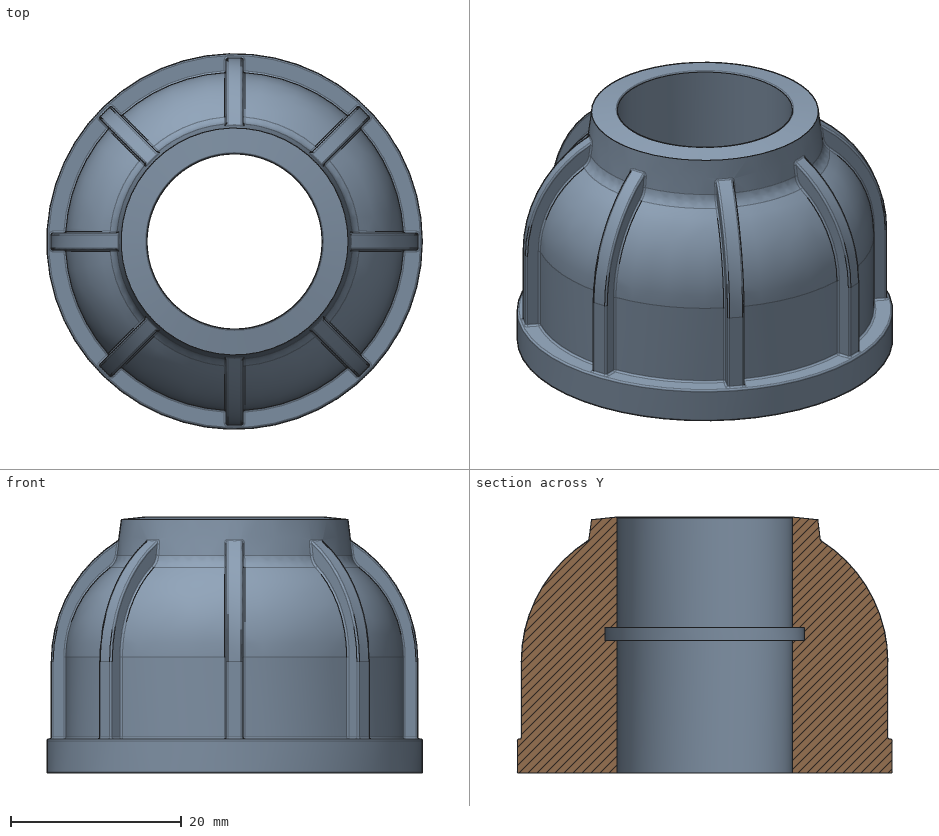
import cadquery as cq
import math

flange_radius = 22.0
flange_height = 4.0
flange_top_fillet = 0.2
flange_bottom_fillet = 0.15

body_radius = 19.8
dome_start_z = 13.6
dome_arc_radius = 13.2

total_height = 30.0
neck_rim_z = 29.7
neck_rim_radius = 13.3
neck_taper = math.radians(7.0)
neck_root_fillet = 2.1

bore_radius = 10.25
bore_rim_fillet = 0.15
groove_depth = 1.4
groove_height = 1.5
groove_top_z = 17.05

rib_count = 8
rib_width = 2.0
rib_outer_radius = 21.45
rib_inner_radius = 11.9
rib_arc_start_z = 13.05
rib_arc_radius = 16.7
rib_edge_fillet = 0.2
root_fillet = 0.2

CONTACT_TOLERANCE = 0.0005


def arc_point(outer_radius, arc_radius, start_z, angle):
    """Point (radius, z) on an arc that leaves a vertical wall at start_z and curves inward."""
    radius = outer_radius - arc_radius * (1 - math.cos(angle))
    return radius, start_z + arc_radius * math.sin(angle)


def dome_end_angle():
    """Angle along the dome arc at which it meets the neck cone."""
    neck_radius_at_dome_start = neck_rim_radius + (neck_rim_z - dome_start_z) * math.tan(neck_taper)
    arc_center_radius = body_radius - dome_arc_radius
    cone_distance = (neck_radius_at_dome_start - arc_center_radius) * math.cos(neck_taper)
    return neck_taper + math.acos(cone_distance / dome_arc_radius)


def make_shell():
    """Revolved flange, body, dome and neck, still without bore and ribs."""
    end_angle = dome_end_angle()
    dome_middle = arc_point(body_radius, dome_arc_radius, dome_start_z, end_angle / 2)
    dome_end = arc_point(body_radius, dome_arc_radius, dome_start_z, end_angle)

    face_inner_radius = bore_radius + bore_rim_fillet
    face_slope = (total_height - neck_rim_z) / (neck_rim_radius - face_inner_radius)
    face_apex_z = total_height + face_inner_radius * face_slope
    profile = (
        cq.Workplane("XZ")
        .lineTo(flange_radius, 0)
        .lineTo(flange_radius, flange_height)
        .lineTo(body_radius, flange_height)
        .lineTo(body_radius, dome_start_z)
        .threePointArc(dome_middle, dome_end)
        .lineTo(neck_rim_radius, neck_rim_z)
        .lineTo(0, face_apex_z)
        .close()
    )
    shell = profile.revolve(360, (0, 0), (0, 1))

    neck_root = cq.selectors.NearestToPointSelector((0, 0, dome_end[1]))
    shell = shell.edges("%CIRCLE").edges(neck_root).fillet(neck_root_fillet)
    shell = shell.edges("<Z").fillet(flange_bottom_fillet)
    flange_edges = shell.edges("%CIRCLE").edges(cq.selectors.RadiusNthSelector(-1))
    return flange_edges.edges(">Z").fillet(flange_top_fillet)


def make_rib():
    """One rib on the +X side, its base sunk into the flange and its tip into the neck."""
    end_angle = math.acos(1 - (rib_outer_radius - rib_inner_radius) / rib_arc_radius)
    arc_middle = arc_point(rib_outer_radius, rib_arc_radius, rib_arc_start_z, end_angle / 2)
    arc_end = arc_point(rib_outer_radius, rib_arc_radius, rib_arc_start_z, end_angle)
    base_z = flange_height / 2
    rib = (
        cq.Workplane("XZ")
        .moveTo(rib_inner_radius, base_z)
        .lineTo(rib_outer_radius, base_z)
        .lineTo(rib_outer_radius, rib_arc_start_z)
        .threePointArc(arc_middle, arc_end)
        .close()
        .extrude(rib_width / 2, both=True)
    )
    return rib.faces("<Y or >Y").edges("not (<X or <Z)").fillet(rib_edge_fillet)


def make_ribs():
    """All ribs, evenly spaced around the axis."""
    rib = make_rib()
    return [rib.rotate((0, 0, 0), (0, 0, 1), i * 360 / rib_count) for i in range(rib_count)]


def lies_on(point, solid):
    """True if the point is on the surface of the solid."""
    vertex = cq.Vertex.makeVertex(*point.toTuple())
    return solid.val().Shells()[0].distance(vertex) < CONTACT_TOLERANCE


def is_root_edge(edge, shell, ribs):
    """True for an inner corner between rib and shell, or between body and flange."""
    point = edge.positionAt(0.5)
    on_flange_top = abs(point.z - flange_height) < CONTACT_TOLERANCE
    on_body_wall = abs(math.hypot(point.x, point.y) - body_radius) < CONTACT_TOLERANCE
    if on_flange_top and on_body_wall:
        return True
    return lies_on(point, shell) and any(lies_on(point, rib) for rib in ribs)


def add_ribs(shell):
    """Join the ribs to the shell and round every inner corner."""
    ribs = make_ribs()
    body = shell
    for rib in ribs:
        body = body.union(rib)
    root_edges = [edge for edge in body.edges().vals() if is_root_edge(edge, shell, ribs)]
    return body.newObject(root_edges).fillet(root_fillet)


def cut_bore(body):
    """Bore through the axis, round its upper rim and turn the groove inside it."""
    bore = cq.Workplane("XY").circle(bore_radius).extrude(2 * total_height)
    body = body.cut(bore)
    body = body.edges(">Z").fillet(bore_rim_fillet)
    groove = (
        cq.Workplane("XY")
        .workplane(offset=groove_top_z - groove_height)
        .circle(bore_radius + groove_depth)
        .extrude(groove_height)
    )
    return body.cut(groove)


result = cut_bore(add_ribs(make_shell()))